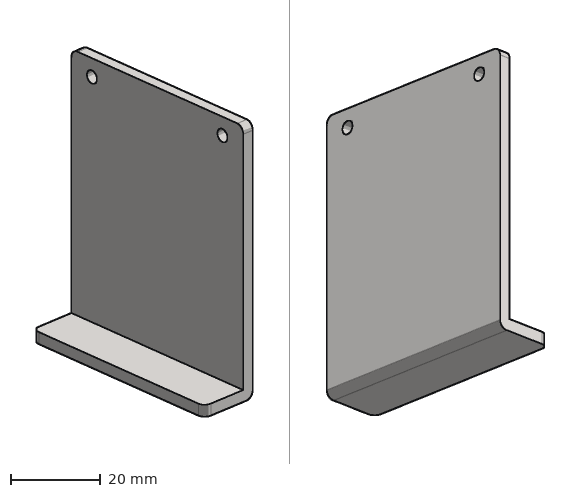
import cadquery as cq

width = 55.0
depth = 15.0
height = 68.2
thickness = 3.0

corner_radius = 2.0
bend_radius = 2.0

hole_diameter = 3.2
hole_spacing = 41.75
hole_drop = 4.65

plate = (
    cq.Workplane("XY")
    .box(width, thickness, height, centered=(True, False, False))
    .translate((0, depth - thickness, 0))
    .edges("|Y and >Z")
    .fillet(corner_radius)
)

ledge = (
    cq.Workplane("XY")
    .box(width, depth, thickness, centered=(True, False, False))
    .edges("|Z and <Y")
    .fillet(corner_radius)
)

bracket = plate.union(ledge)
bracket = bracket.edges("|X and >Y and <Z").fillet(bend_radius)

hole_height = height - hole_drop
holes = (
    cq.Workplane("XZ", origin=(0, depth, 0))
    .pushPoints([(side * hole_spacing / 2, hole_height) for side in (-1, 1)])
    .circle(hole_diameter / 2)
    .extrude(thickness)
)

result = bracket.cut(holes)